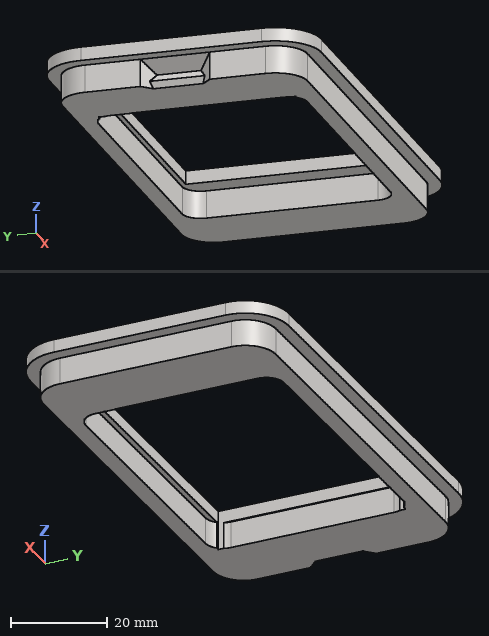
import cadquery as cq

plate_length = 103.2
plate_width = 59.3
plate_thickness = 3.0
plate_corner_radius = 10.0

lip_inset = 3.0
lip_height = 6.0

window_x_min = -33.0
window_x_max = 28.1
window_y_min = -21.4
window_y_max = 21.5

pocket_length = 66.6
pocket_width = 45.4
pocket_corner_radius = 4.0

notch_width = 15.1
notch_depth = 2.75
notch_flank_run = 2.75
notch_root_z = 3.15
ridge_z = 1.5
ridge_depth = 1.55
notch_bottom_depth = 2.15

lip_length = plate_length - 2 * lip_inset
lip_width = plate_width - 2 * lip_inset
lip_corner_radius = plate_corner_radius - lip_inset
total_height = lip_height + plate_thickness


def rounded_block(length, width, height, radius):
    """Block on the XY plane with rounded vertical edges."""
    block = cq.Workplane("XY").rect(length, width).extrude(height)
    return block.edges("|Z").fillet(radius)


def make_window():
    return (
        cq.Workplane("XY")
        .moveTo((window_x_min + window_x_max) / 2, (window_y_min + window_y_max) / 2)
        .rect(window_x_max - window_x_min, window_y_max - window_y_min)
        .extrude(total_height)
    )


def make_notch():
    """Tapering notch: a plan trapezoid limited by a side profile with a ridged floor."""
    face_x = -lip_length / 2
    half_mouth = notch_width / 2
    half_root = half_mouth - notch_flank_run
    plan = (
        cq.Workplane("XY")
        .polyline([
            (face_x, -half_mouth),
            (face_x + notch_depth, -half_root),
            (face_x + notch_depth, half_root),
            (face_x, half_mouth),
        ])
        .close()
        .extrude(lip_height)
    )
    side_profile = (
        cq.Workplane("XZ")
        .polyline([
            (face_x, 0),
            (face_x, lip_height),
            (face_x + notch_depth, notch_root_z),
            (face_x + ridge_depth, ridge_z),
            (face_x + notch_bottom_depth, 0),
        ])
        .close()
        .extrude(plate_width / 2, both=True)
    )
    return plan.intersect(side_profile)


lip = rounded_block(lip_length, lip_width, lip_height, lip_corner_radius)
plate = rounded_block(plate_length, plate_width, plate_thickness, plate_corner_radius)
pocket = rounded_block(pocket_length, pocket_width, lip_height, pocket_corner_radius)

result = lip.union(plate.translate((0, 0, lip_height)))
result = result.cut(pocket).cut(make_window()).cut(make_notch())